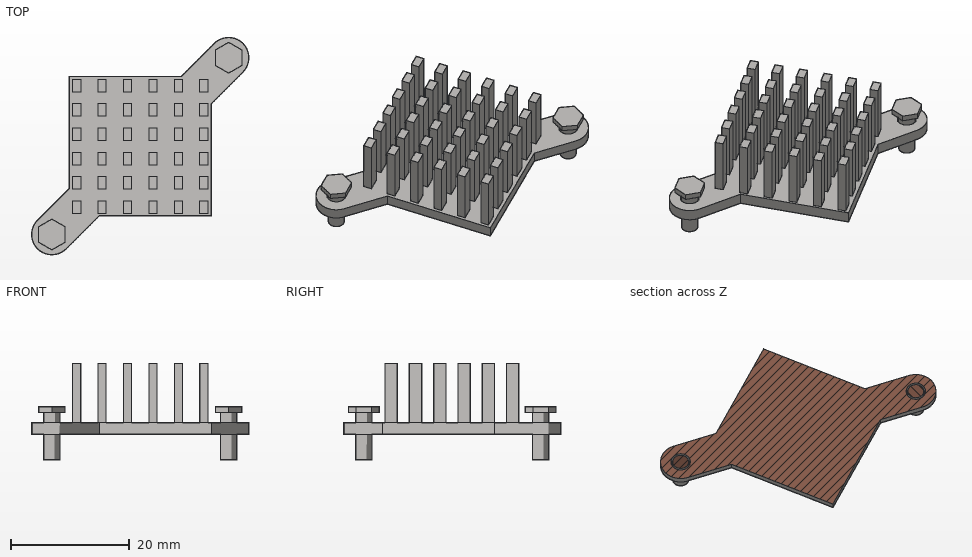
import cadquery as cq
import math

overall_span = 36.68

plate_length_x = 24.0
plate_length_y = 23.5
plate_thickness = 2.0

arm_width = 6.86
ear_radius = arm_width / 2
hole_diameter = 3.18
hole_offset = overall_span / 2 - ear_radius
hole_positions = [(-hole_offset, -hole_offset), (hole_offset, hole_offset)]

fins_per_side = 6
fin_size_x = 1.4
fin_size_y = 2.12
fin_height = 10.0
fin_pitch_x = 4.295
fin_pitch_y = 4.1
fin_grid_shift_y = -0.05

shank_diameter = 2.75
shank_length = 8.0
shank_below_plate = 4.31
head_across_flats = 4.5
head_across_corners = head_across_flats / math.cos(math.pi / 6)
head_thickness = 1.0
head_turn = 30.0


def make_base():
    """Rectangular plate with a round-ended arm across its diagonal."""
    plate = cq.Workplane("XY").box(
        plate_length_x, plate_length_y, plate_thickness, centered=(True, True, False)
    )
    arm_length = 2 * math.hypot(hole_offset, hole_offset) + arm_width
    arms = cq.Workplane("XY").slot2D(arm_length, arm_width, 45).extrude(plate_thickness)
    return plate.union(arms)


def make_fins():
    """Grid of rectangular pin fins standing on the plate."""
    return (
        cq.Workplane("XY", origin=(0, fin_grid_shift_y, plate_thickness))
        .rarray(fin_pitch_x, fin_pitch_y, fins_per_side, fins_per_side)
        .rect(fin_size_x, fin_size_y)
        .extrude(fin_height)
    )


def make_heat_sink():
    """Base and fins in one solid, with a clearance hole through each ear."""
    holes = (
        cq.Workplane("XY")
        .pushPoints(hole_positions)
        .circle(hole_diameter / 2)
        .extrude(plate_thickness)
    )
    return make_base().union(make_fins()).cut(holes)


def make_screw(x, y):
    """Plain round shank with a hexagonal head on top."""
    shank = (
        cq.Workplane("XY", origin=(x, y, -shank_below_plate))
        .circle(shank_diameter / 2)
        .extrude(shank_length)
    )
    head = (
        cq.Workplane("XY")
        .polygon(6, head_across_corners)
        .extrude(head_thickness)
        .rotate((0, 0, 0), (0, 0, 1), head_turn)
        .translate((x, y, shank_length - shank_below_plate))
    )
    return shank.union(head)


heat_sink = make_heat_sink()
screws = [make_screw(x, y) for x, y in hole_positions]

result = cq.Compound.makeCompound([heat_sink.val(), *[screw.val() for screw in screws]])